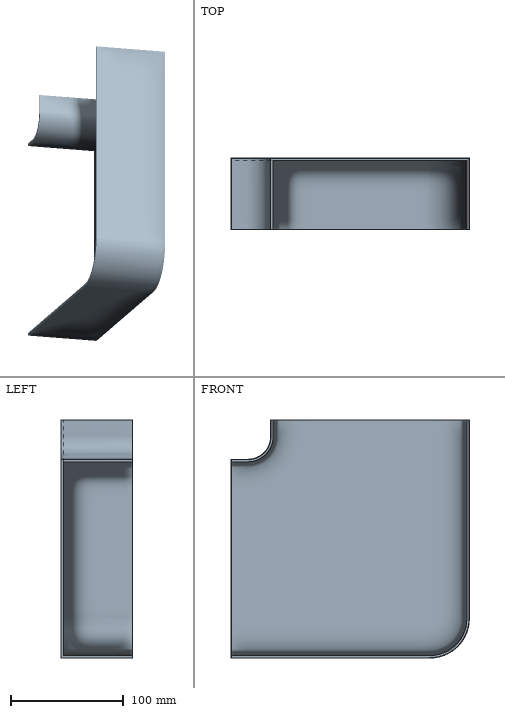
import cadquery as cq

side = 210.9
depth = 63.4
wall = 2.2

corner_radius = 35.0

notch = 35.0
notch_radius = 20.0


def plate_outline(offset):
    """Closed profile in the XZ plane with its walled edges moved inwards by offset.

    The lower left corner of the full square is the origin. The left and top
    edges carry no wall, so they stay in place.
    """
    right = side - offset
    bottom = offset
    notch_x = notch + offset
    notch_z = side - notch - offset
    outer_round = corner_radius - offset
    inner_round = notch_radius + offset
    notch_center = (notch_x - inner_round, notch_z + inner_round)
    return (
        cq.Workplane("XZ")
        .moveTo(0, bottom)
        .lineTo(right - outer_round, bottom)
        .radiusArc((right, bottom + outer_round), -outer_round)
        .lineTo(right, side)
        .lineTo(notch_x, side)
        .lineTo(notch_x, notch_center[1])
        .radiusArc((notch_center[0], notch_z), inner_round)
        .lineTo(0, notch_z)
        .close()
    )


def make_tray():
    """Back plate with walls along the notch and along the right and bottom edges."""
    body = plate_outline(0).extrude(depth)
    recess = plate_outline(wall).extrude(depth - wall).translate((0, -wall, 0))
    return body.cut(recess)


result = make_tray()